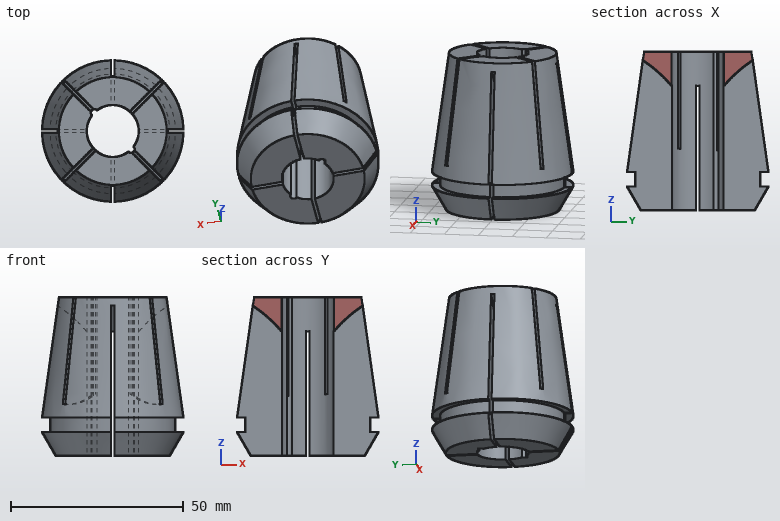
import cadquery as cq
import math

total_height = 46.0
rim_radius = 20.5
nose_radius = 16.5
groove_bottom = 7.0
groove_top = 11.1
groove_radius = 18.15
upper_taper_angle = 8.0
nose_taper_angle = 30.0
bore_radius = 7.5

relief_radius = 1.0
relief_angles = (135, 315)

slot_width = 1.0
lower_blade_radius = 40.0
lower_slot_angles = (0, 90, 180, 270)
lower_slot_outer_end = 43.5
lower_slot_bore_end = 36.0
upper_blade_radius = 20.0
upper_slot_angles = (45, 135, 225, 315)
upper_slot_outer_end = 15.0
upper_slot_bore_end = 18.0
clearance = 1.0

upper_slope = math.tan(math.radians(upper_taper_angle))
nose_taper_top = (rim_radius - nose_radius) / math.tan(math.radians(nose_taper_angle))


def taper_radius(z):
    """Outer radius of the upper taper at height z."""
    return rim_radius - (z - groove_top) * upper_slope


def make_body():
    """Double-tapered sleeve with a groove between the tapers and a thin land on the nose rim."""
    top_radius = taper_radius(total_height)
    return (
        cq.Workplane("XZ")
        .moveTo(bore_radius, 0)
        .lineTo(nose_radius, 0)
        .lineTo(rim_radius, nose_taper_top)
        .lineTo(rim_radius, groove_bottom)
        .lineTo(groove_radius, groove_bottom)
        .lineTo(groove_radius, groove_top)
        .lineTo(rim_radius, groove_top)
        .lineTo(top_radius, total_height)
        .lineTo(bore_radius, total_height)
        .close()
        .revolve(360, (0, 0), (0, 1))
    )


def make_slot(open_z, outer_end, bore_end, arc_radius, angle):
    """Radial slot from height open_z to an arc between outer_end and bore_end.

    The sign of arc_radius sets the side to which the arc bulges.
    """
    outside = rim_radius + clearance
    return (
        cq.Workplane("XZ")
        .moveTo(0, open_z)
        .lineTo(outside, open_z)
        .lineTo(outside, outer_end)
        .lineTo(taper_radius(outer_end), outer_end)
        .radiusArc((bore_radius, bore_end), arc_radius)
        .lineTo(0, bore_end)
        .close()
        .extrude(slot_width / 2, both=True)
        .rotate((0, 0, 0), (0, 0, 1), angle)
    )


def make_relief(angle):
    """Round relief hole centred on the bore wall."""
    return (
        cq.Workplane("XY")
        .circle(relief_radius)
        .extrude(total_height)
        .translate((bore_radius, 0, 0))
        .rotate((0, 0, 0), (0, 0, 1), angle)
    )


result = make_body()

for angle in relief_angles:
    result = result.cut(make_relief(angle))

for angle in lower_slot_angles:
    lower_slot = make_slot(
        -clearance, lower_slot_outer_end, lower_slot_bore_end, -lower_blade_radius, angle
    )
    result = result.cut(lower_slot)

for angle in upper_slot_angles:
    upper_slot = make_slot(
        total_height + clearance, upper_slot_outer_end, upper_slot_bore_end, upper_blade_radius, angle
    )
    result = result.cut(upper_slot)